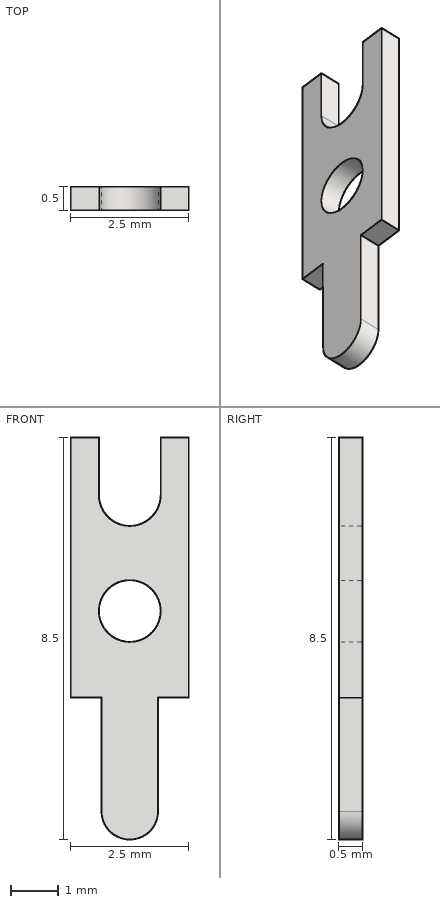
import cadquery as cq

thickness = 0.5
plate_width = 2.5
plate_height = 5.5
tail_width = 1.2
tail_length = 3.0
opening_diameter = 1.3
hole_height = 1.83
slot_depth = 1.87

opening_radius = opening_diameter / 2
tail_radius = tail_width / 2
slot_center_height = plate_height - slot_depth + opening_radius


def outline():
    """Forked plate and tail, as one closed outline on the back (+Y) face."""
    half_plate = plate_width / 2
    tail_arc_height = tail_radius - tail_length
    return (
        cq.Workplane("XZ", origin=(0, thickness / 2, 0))
        .moveTo(-tail_radius, 0)
        .lineTo(-half_plate, 0)
        .lineTo(-half_plate, plate_height)
        .lineTo(-opening_radius, plate_height)
        .lineTo(-opening_radius, slot_center_height)
        .threePointArc((0, plate_height - slot_depth), (opening_radius, slot_center_height))
        .lineTo(opening_radius, plate_height)
        .lineTo(half_plate, plate_height)
        .lineTo(half_plate, 0)
        .lineTo(tail_radius, 0)
        .lineTo(tail_radius, tail_arc_height)
        .threePointArc((0, -tail_length), (-tail_radius, tail_arc_height))
        .close()
    )


def hole_cutter():
    """Round through hole along Y."""
    return (
        cq.Workplane("XZ", origin=(0, thickness / 2, hole_height))
        .circle(opening_radius)
        .extrude(thickness)
    )


terminal = outline().extrude(thickness)
result = terminal.cut(hole_cutter())